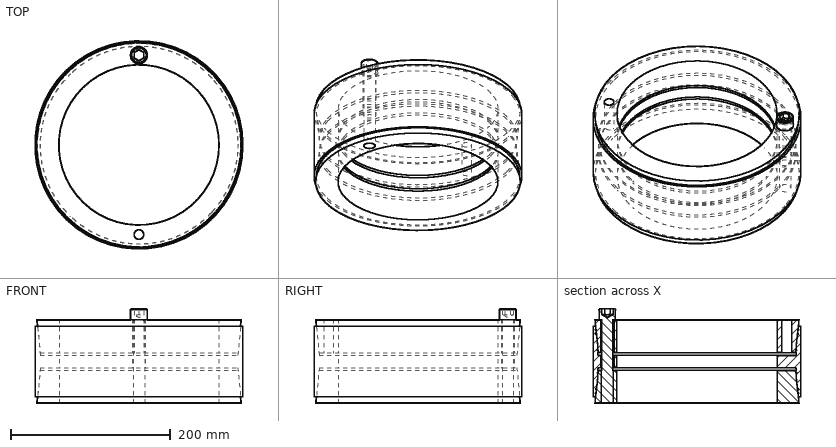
import cadquery as cq
import math

outer_radius = 260 / 2
bore_radius = 200.0 / 2
stack_height = 104.0

ring_end_radius = 128.0
ring_taper = 0.1
ring_height = 40.8
ring_inner_radius = ring_end_radius - ring_taper * ring_height

ring_protrusion = 7.8
ring_gap = 3.5
sleeve_bottom = ring_protrusion
sleeve_top = stack_height - ring_protrusion
web_bottom = ring_height + ring_gap
web_top = stack_height - web_bottom
sleeve_mouth_radius = ring_end_radius - ring_taper * ring_protrusion
sleeve_root_radius = ring_end_radius - ring_taper * web_bottom

pitch_radius = 112.0
screw_head_diameter = 21.0
screw_head_height = 14.0
screw_head_chamfer = 1.3
screw_shank_diameter = 14.0
clearance_diameter = 16.0
socket_across_flats = 12.0
socket_corner_diameter = socket_across_flats / math.cos(math.pi / 6)
socket_depth = 7.0
socket_cone_height = 4.0
release_hole_diameter = 12.0


def cylinder(diameter, y, bottom, top):
    """Upright cylinder centred on X = 0."""
    return cq.Workplane("XY", origin=(0, y, bottom)).circle(diameter / 2).extrude(top - bottom)


def revolve_profile(points):
    """Turn a closed (radius, height) outline around the Z axis."""
    return cq.Workplane("XZ").polyline(points).close().revolve(360, (0, 0), (0, 1))


def make_blank_ring(end_z, inner_z):
    """Tapered ring, widest at its outer end face."""
    return revolve_profile([
        (bore_radius, end_z),
        (ring_end_radius, end_z),
        (ring_inner_radius, inner_z),
        (bore_radius, inner_z),
    ])


def make_upper_ring():
    """Ring under the screw head, with the release hole opposite the screw."""
    bottom = stack_height - ring_height
    ring = make_blank_ring(stack_height, bottom)
    ring = ring.cut(cylinder(clearance_diameter, pitch_radius, bottom, stack_height))
    return ring.cut(cylinder(release_hole_diameter, -pitch_radius, bottom, stack_height))


def make_lower_ring():
    """Ring that the screw shank is seated in."""
    ring = make_blank_ring(0, ring_height)
    return ring.cut(cylinder(screw_shank_diameter, pitch_radius, 0, ring_height))


def make_sleeve():
    """Outer sleeve with a tapered seat on each side of its inner web."""
    sleeve = revolve_profile([
        (outer_radius, sleeve_bottom),
        (outer_radius, sleeve_top),
        (sleeve_mouth_radius, sleeve_top),
        (sleeve_root_radius, web_top),
        (bore_radius, web_top),
        (bore_radius, web_bottom),
        (sleeve_root_radius, web_bottom),
        (sleeve_mouth_radius, sleeve_bottom),
    ])
    return sleeve.cut(cylinder(clearance_diameter, pitch_radius, web_bottom, web_top))


def make_socket(head_top):
    """Hexagonal screw socket ending in a cone, with two corners along Y."""
    cone_base = head_top - socket_depth
    cone_tip = cone_base - socket_cone_height
    hexagon = (
        cq.Workplane("XY", origin=(0, pitch_radius, cone_tip))
        .transformed(rotate=(0, 0, 90))
        .polygon(6, socket_corner_diameter)
        .extrude(head_top - cone_tip)
    )
    drill = cylinder(socket_corner_diameter, pitch_radius, cone_base, head_top)
    cone = cq.Workplane(cq.Solid.makeCone(
        0, socket_corner_diameter / 2, socket_cone_height, pnt=cq.Vector(0, pitch_radius, cone_tip)
    ))
    return hexagon.intersect(drill.union(cone))


def make_screw():
    """Socket head screw, its head standing on the upper ring."""
    head_top = stack_height + screw_head_height
    head = cylinder(screw_head_diameter, pitch_radius, stack_height, head_top)
    head = head.faces(">Z").edges().chamfer(screw_head_chamfer)
    shank = cylinder(screw_shank_diameter, pitch_radius, 0, stack_height)
    return head.union(shank).cut(make_socket(head_top))


upper_ring = make_upper_ring()
lower_ring = make_lower_ring()
sleeve = make_sleeve()
screw = make_screw()

result = cq.Compound.makeCompound([
    upper_ring.solids().val(),
    lower_ring.solids().val(),
    sleeve.solids().val(),
    screw.solids().val(),
])